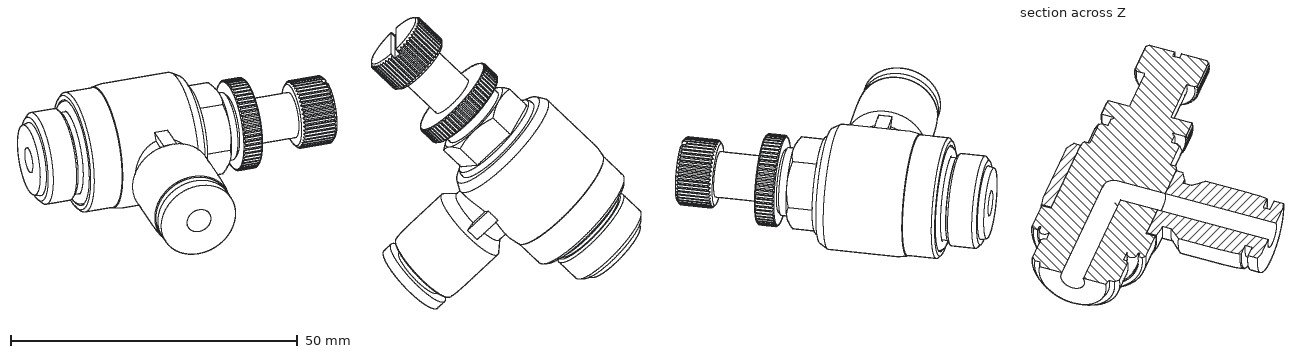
import cadquery as cq
import math


bore_radius = 8.85
passage_radius = 2.2
housing_half_length = 7.7

housing_diameter = 22.0
housing_radius = housing_diameter / 2
housing_top_radius = 10.15
housing_bottom_radius = 10.7
housing_chamfer_top = 1.5
housing_chamfer_bottom = 1.65

arm_neck_radius = 5.5
arm_neck_end = 12.5
arm_radius = 7.2
arm_cone_end = 14.5
arm_taper_start = 22.3
arm_taper_middle = 24.5
arm_taper_middle_radius = 7.15
arm_end = 26.0
arm_end_radius = 6.95
arm_end_chamfer = 0.15
release_neck_radius = 4.85
release_flange_start = 27.25
release_flange_radius = 6.85
release_face_start = 29.05
release_face_radius = 5.6
overall_width = 40.35
release_end = overall_width - housing_radius

rib_end = 13.9
rib_thickness = 2.4
rib_half_height = 6.65

swivel_gap = 0.1
sleeve_top = -housing_half_length - swivel_gap
sleeve_bottom = -13.4
sleeve_radius = 10.6
sleeve_chamfer = 0.5
seal_bottom = -14.05
seal_section_radius = 0.95
seal_recess_radius = 9.35
seal_recess_depth = 0.8
thread_neck_radius = 7.25
thread_top = -14.9
thread_radius = 8.1
thread_top_chamfer = 0.45
thread_bottom = -20.3
thread_bottom_chamfer = 0.7
tip_bottom = -21.35
tip_top_radius = 6.5
tip_bottom_radius = 6.2

collar_top = 8.7
collar_round_radius = 1.2
collar_top_radius = 8.5
hex_top = 13.6
hex_across_flats = 14.0
hex_chamfer_radius = hex_across_flats / 2
hex_chamfer_angle = 30
nut_seat_radius = 6.0
nut_seat_chamfer = 0.5
nut_bottom = 15.6
nut_top = 19.05
nut_radius = 8.0
nut_chamfer = 0.3
nut_teeth = 60
stem_radius = 4.0
knob_bottom = 27.0
knob_top = 33.55
knob_radius = 6.0
knob_chamfer = 0.55
knob_teeth = 48
knurl_depth = 0.3
knurl_width_ratio = 0.7
slot_width = 1.2
slot_depth = 1.0


def cylinder_y(radius, start, end):
    """Cylinder on the core axis between two Y positions."""
    return cq.Workplane("XZ", origin=(0, start, 0)).circle(radius).extrude(start - end)


def turned_y(profile):
    """Solid of revolution about Y from a closed half profile of (radius, y)."""
    return profile.close().revolve(360, (0, 0, 0), (0, 1, 0))


def passage():
    """Air passage: up the core, round a ball corner, out along the arm."""
    inlet = cylinder_y(passage_radius, tip_bottom, 0)
    outlet = cq.Workplane("YZ").circle(passage_radius).extrude(release_end)
    corner = cq.Workplane("XY").sphere(passage_radius)
    return inlet.union(outlet).union(corner)


def barrel():
    return turned_y(
        cq.Workplane("XY")
        .moveTo(0, -housing_half_length)
        .lineTo(housing_bottom_radius, -housing_half_length)
        .lineTo(housing_radius, -housing_half_length + housing_chamfer_bottom)
        .lineTo(housing_radius, housing_half_length - housing_chamfer_top)
        .lineTo(housing_top_radius, housing_half_length)
        .lineTo(0, housing_half_length)
    )


def tube_arm():
    """Arm with its tube socket and the grooved release ring at the end."""
    outline = [
        (0, 0),
        (0, arm_neck_radius),
        (arm_neck_end, arm_neck_radius),
        (arm_cone_end, arm_radius),
        (arm_taper_start, arm_radius),
        (arm_taper_middle, arm_taper_middle_radius),
        (arm_end - arm_end_chamfer, arm_end_radius),
        (arm_end, arm_end_radius - arm_end_chamfer),
        (arm_end, release_neck_radius),
        (release_flange_start, release_neck_radius),
        (release_flange_start, release_flange_radius),
        (release_face_start, release_flange_radius),
        (release_end, release_face_radius),
        (release_end, 0),
    ]
    return cq.Workplane("XY").polyline(outline).close().revolve(360, (0, 0, 0), (1, 0, 0))


def ribs():
    """Flat web giving one rib above and one below the arm neck."""
    return cq.Workplane("XY").box(
        rib_end, rib_thickness, 2 * rib_half_height, centered=(False, True, True)
    )


def make_housing():
    bore = cylinder_y(bore_radius, -housing_half_length, housing_half_length)
    return barrel().union(tube_arm()).union(ribs()).cut(bore).cut(passage())


def lower_core():
    """Threaded end, sleeve with its seal bead, and the journal in the housing."""
    seal_y = seal_bottom + seal_section_radius
    seal_centre_radius = thread_neck_radius + seal_section_radius
    seal_outer_radius = seal_centre_radius + seal_section_radius
    recess_floor = sleeve_bottom + seal_recess_depth
    return turned_y(
        cq.Workplane("XY")
        .moveTo(0, tip_bottom)
        .lineTo(tip_bottom_radius, tip_bottom)
        .lineTo(tip_top_radius, thread_bottom)
        .lineTo(thread_radius - thread_bottom_chamfer, thread_bottom)
        .lineTo(thread_radius, thread_bottom + thread_bottom_chamfer)
        .lineTo(thread_radius, thread_top - thread_top_chamfer)
        .lineTo(thread_radius - thread_top_chamfer, thread_top)
        .lineTo(thread_neck_radius, thread_top)
        .lineTo(thread_neck_radius, seal_y)
        .threePointArc((seal_centre_radius, seal_bottom), (seal_outer_radius, seal_y))
        .lineTo(seal_outer_radius, recess_floor)
        .lineTo(seal_recess_radius, recess_floor)
        .lineTo(seal_recess_radius, sleeve_bottom)
        .lineTo(sleeve_radius - sleeve_chamfer, sleeve_bottom)
        .lineTo(sleeve_radius, sleeve_bottom + sleeve_chamfer)
        .lineTo(sleeve_radius, sleeve_top)
        .lineTo(bore_radius, sleeve_top)
        .lineTo(bore_radius, housing_half_length + swivel_gap)
        .radiusArc((collar_top_radius, collar_top), -collar_round_radius)
        .lineTo(0, collar_top)
    )


def hexagon():
    """Hexagon with flats facing +Z and -Z and its top corners turned off."""
    corner_radius = hex_across_flats / math.sqrt(3)
    chamfer_drop = (corner_radius - hex_chamfer_radius) * math.tan(math.radians(hex_chamfer_angle))
    prism = (
        cq.Workplane("XZ", origin=(0, collar_top, 0))
        .polygon(6, 2 * corner_radius)
        .extrude(collar_top - hex_top)
    )
    turned_blank = turned_y(
        cq.Workplane("XY")
        .moveTo(0, collar_top)
        .lineTo(corner_radius, collar_top)
        .lineTo(corner_radius, hex_top - chamfer_drop)
        .lineTo(hex_chamfer_radius, hex_top)
        .lineTo(0, hex_top)
    )
    return prism.intersect(turned_blank)


def knurled_disc(radius, start, end, chamfer, teeth):
    """Chamfered disc with straight V grooves around its rim."""
    pitch_angle = 2 * math.pi / teeth
    half_groove = pitch_angle * knurl_width_ratio / 2
    root_radius = radius - knurl_depth
    points = []
    for tooth in range(teeth):
        groove_angle = tooth * pitch_angle
        for offset, rim in ((-half_groove, radius), (0, root_radius), (half_groove, radius)):
            angle = groove_angle + offset
            points.append((rim * math.cos(angle), rim * math.sin(angle)))
    toothed = (
        cq.Workplane("XZ", origin=(0, start, 0)).polyline(points).close().extrude(start - end)
    )
    blank = cylinder_y(radius, start, end).edges().chamfer(chamfer)
    return toothed.intersect(blank)


def knob():
    """Knurled adjusting knob with a screwdriver slot along Z."""
    slot = cq.Workplane("XY").box(slot_width, 2 * slot_depth, 2 * knob_radius)
    head = knurled_disc(knob_radius, knob_bottom, knob_top, knob_chamfer, knob_teeth)
    return head.cut(slot.translate((0, knob_top, 0)))


def make_core():
    nut_seat = cylinder_y(nut_seat_radius, hex_top, nut_bottom).faces(">Y").chamfer(nut_seat_chamfer)
    lock_nut = knurled_disc(nut_radius, nut_bottom, nut_top, nut_chamfer, nut_teeth)
    stem = cylinder_y(stem_radius, nut_top, knob_bottom)
    core = lower_core()
    for section in (hexagon(), nut_seat, lock_nut, stem, knob()):
        core = core.union(section)
    return core.cut(passage())


housing = make_housing()
core = make_core()

result = cq.Compound.makeCompound([housing.val(), core.val()])